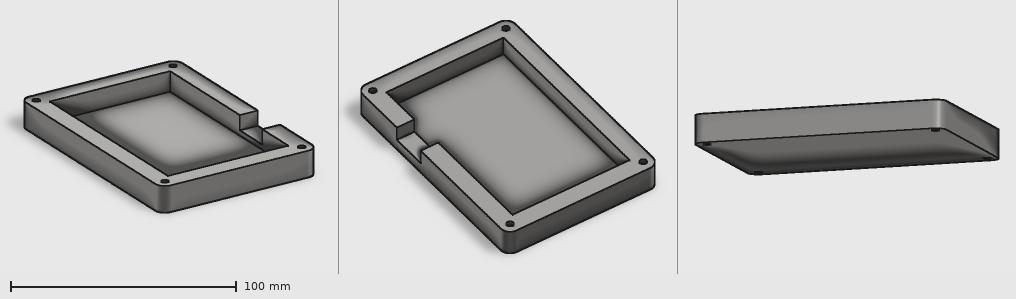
import cadquery as cq

length = 117.0
width = 82.0
height = 13.0
corner_radius = 5.0

wall = 9.5
floor_thickness = 3.0

hole_diameter = 3.4
hole_inset = 5.1

notch_width = 18.5
notch_center_x = 18.0
notch_depth = 7.4


def outer_block():
    """Flat block with rounded vertical edges, base on Z = 0."""
    block = cq.Workplane("XY").box(length, width, height, centered=(True, True, False))
    return block.edges("|Z").fillet(corner_radius)


def pocket():
    """Sharp-cornered volume removed from above, down to the floor."""
    return (
        cq.Workplane("XY", origin=(0, 0, floor_thickness))
        .rect(length - 2 * wall, width - 2 * wall)
        .extrude(height - floor_thickness)
    )


def wall_notch():
    """Volume removed from the top of the +Y wall, across its full thickness."""
    wall_center_y = (width - wall) / 2
    return (
        cq.Workplane("XY", origin=(notch_center_x, wall_center_y, height - notch_depth))
        .rect(notch_width, wall)
        .extrude(notch_depth)
    )


def screw_holes():
    """Four through holes, one at each corner."""
    return (
        cq.Workplane("XY")
        .rect(length - 2 * hole_inset, width - 2 * hole_inset, forConstruction=True)
        .vertices()
        .circle(hole_diameter / 2)
        .extrude(height)
    )


result = outer_block().cut(pocket()).cut(wall_notch()).cut(screw_holes())